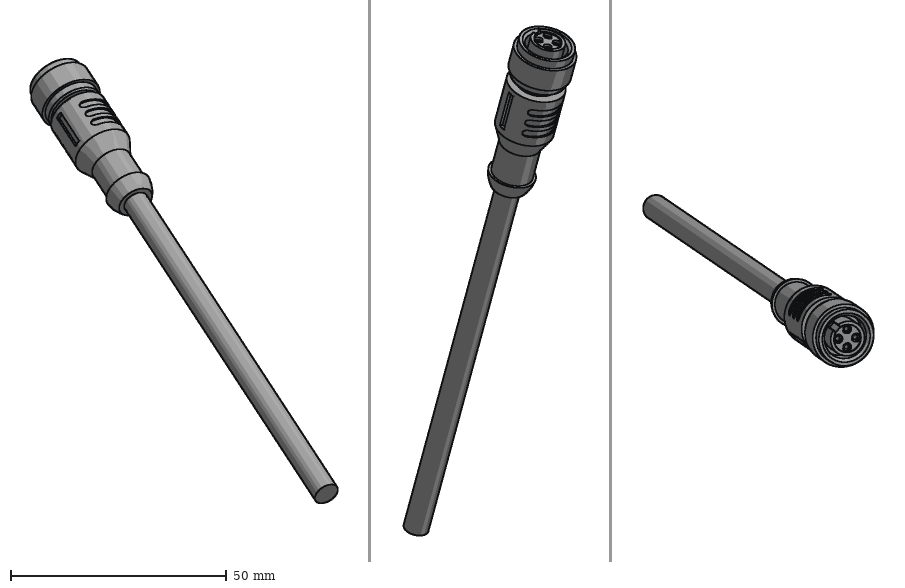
import cadquery as cq
import math

total_length = 142.7
collar_start = 1.0
nut_start = 3.1
nut_end = 9.0
ring_end = 11.3
body_start = 12.7
body_end = 25.5
sleeve_start = 30.1
flange_start = 38.8
flange_bulge_position = 41.2
flange_end = 42.8

insert_radius = 4.1
collar_radius = 6.7
nut_radius = 7.49
neck_radius = 4.9
body_radius = 7.06
sleeve_radius = 5.0
flange_radius = 5.7
flange_bulge_radius = 5.1
flange_end_radius = 4.3
cable_radius = 3.0

ring_chamfer = 0.4

gap_radius = 5.1
gap_depth = 4.3
gap_lead_in = 0.7

contact_face_radius = 3.3
contact_face_depth = 0.3

key_angle = 45.0
key_width = 1.7
key_floor_radius = 3.1

socket_count = 4
socket_circle_radius = 2.1
socket_radius = 1.0
pin_hole_radius = 0.5
socket_depth = 0.7
pin_hole_depth = 4.3

window_angle = 145.0
window_start = 14.1
window_end = 23.8
window_width = 1.7
window_depth = 0.9
groove_count = 3
groove_first = 16.1
groove_pitch = 3.0
groove_width = 1.9
groove_length = 10.0
groove_depth = 0.4


def turned_profile():
    """Revolve the outer outline of connector and cable about X."""
    outline = (
        cq.Workplane("XY")
        .moveTo(0, 0)
        .lineTo(0, insert_radius)
        .lineTo(collar_start, insert_radius)
        .lineTo(collar_start, collar_radius)
        .lineTo(nut_start, collar_radius)
        .lineTo(nut_start, nut_radius)
        .lineTo(nut_end, nut_radius)
        .lineTo(nut_end, collar_radius)
        .lineTo(ring_end - ring_chamfer, collar_radius)
        .lineTo(ring_end, collar_radius - ring_chamfer)
        .lineTo(ring_end, neck_radius)
        .lineTo(body_start, neck_radius)
        .lineTo(body_start, body_radius)
        .lineTo(body_end, body_radius)
        .lineTo(sleeve_start, sleeve_radius)
        .lineTo(flange_start, sleeve_radius)
        .lineTo(flange_start, flange_radius)
        .threePointArc((flange_bulge_position, flange_bulge_radius), (flange_end, flange_end_radius))
        .lineTo(flange_end, cable_radius)
        .lineTo(total_length, cable_radius)
        .lineTo(total_length, 0)
        .close()
    )
    return outline.revolve(360, (0, 0, 0), (1, 0, 0))


def insert_gap():
    """Ring-shaped cutter around the insert, widened at its mouth."""
    gap_floor = collar_start + gap_depth
    return (
        cq.Workplane("XY")
        .moveTo(collar_start, insert_radius)
        .lineTo(gap_floor, insert_radius)
        .lineTo(gap_floor, gap_radius)
        .lineTo(collar_start + gap_lead_in, gap_radius)
        .lineTo(collar_start, gap_radius + gap_lead_in)
        .close()
        .revolve(360, (0, 0, 0), (1, 0, 0))
    )


def socket_cutters(radius, depth):
    """Blind round holes on the contact circle, measured from the contact face."""
    return (
        cq.Workplane("YZ")
        .polarArray(socket_circle_radius, 0, 360, socket_count)
        .circle(radius)
        .extrude(contact_face_depth + depth)
    )


def keyway_cutter():
    """Slot along the edge of the insert, as deep as the gap around it."""
    key_height = insert_radius - key_floor_radius
    return (
        cq.Workplane("XY")
        .box(collar_start + gap_depth, key_height, key_width, centered=(False, False, True))
        .translate((0, key_floor_radius, 0))
        .rotate((0, 0, 0), (1, 0, 0), key_angle)
    )


def radial_plane(angle):
    """Plane through the axis, facing outwards at the angle, with local x along the part."""
    direction = (0, math.cos(math.radians(angle)), math.sin(math.radians(angle)))
    return cq.Plane(origin=(0, 0, 0), xDir=(1, 0, 0), normal=direction)


def window_cutter(angle):
    """Flat-bottomed rectangular recess along the body."""
    return (
        cq.Workplane(radial_plane(angle))
        .workplane(offset=body_radius - window_depth)
        .center((window_start + window_end) / 2, 0)
        .rect(window_end - window_start, window_width)
        .extrude(2 * window_depth)
    )


def groove_cutter(angle):
    """Round-ended grooves wrapped across the body to a constant depth."""
    slots = (
        cq.Workplane(radial_plane(angle))
        .pushPoints([(groove_first + i * groove_pitch, 0) for i in range(groove_count)])
        .slot2D(groove_length, groove_width, 90)
        .extrude(body_radius + groove_depth)
    )
    core = cq.Workplane("YZ").circle(body_radius - groove_depth).extrude(total_length)
    return slots.cut(core)


def contact_face_cutter():
    """Shallow round recess that leaves a rim around the contact face."""
    return cq.Workplane("YZ").circle(contact_face_radius).extrude(contact_face_depth)


result = turned_profile().cut(insert_gap())
result = result.cut(contact_face_cutter())
result = result.cut(keyway_cutter())
result = result.cut(socket_cutters(socket_radius, socket_depth))
result = result.cut(socket_cutters(pin_hole_radius, pin_hole_depth))
for side in (0, 180):
    result = result.cut(window_cutter(window_angle + side))
    result = result.cut(groove_cutter(window_angle - 90 + side))